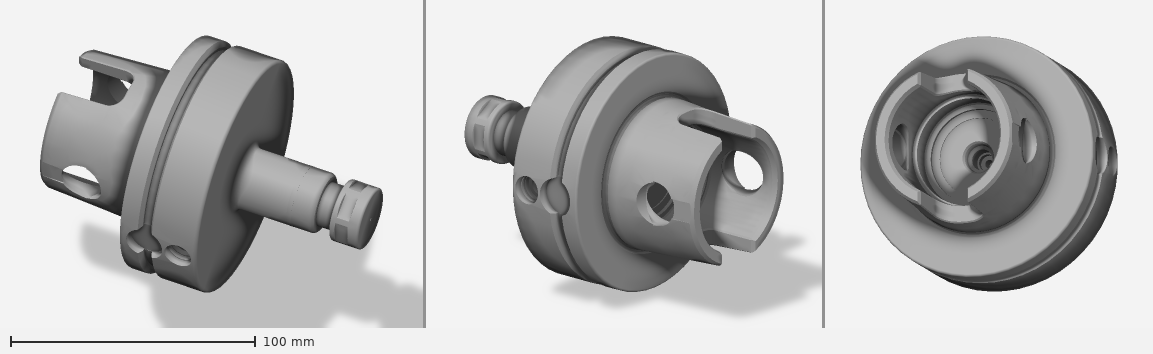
import cadquery as cq
import math


MOUTH_RADIUS = 28.6
TAPER_START_X, TAPER_START_RADIUS = 1.8, 29.7
TAPER_END_X, TAPER_END_RADIUS = 42.9, 32.0
NECK_X, NECK_RADIUS = 43.7, 31.6

FLANGE_START_X, FLANGE_END_X = 44.8, 79.1
FLANGE_RADIUS = 100.0 / 2
FLANGE_START_FILLET, FLANGE_END_FILLET = 1.0, 1.4
RELIEF_RADIUS, RELIEF_FLOOR_OUTER, RELIEF_FLOOR_INNER = 34.0, 33.2, 32.4
RELIEF_DEPTH = 0.5
GROOVE_CENTRE_X = 56.0
GROOVE_MOUTH_WIDTH, GROOVE_FLOOR_WIDTH = 6.3, 3.8
GROOVE_FLOOR_RADIUS, GROOVE_WALL_RADIUS = 46.5, 47.8

SHAFT_RADIUS = 25.9 / 2
SHAFT_ROOT_FILLET = 2.5
BAND_START_X, BAND_END_X = 103.1, 105.2
BAND_RADIUS = 26.0 / 2
SHAFT_ROUND_X, SHAFT_END_X, SHAFT_ROUND_DROP = 112.9, 114.9, 1.1
COLLAR_RADIUS = 19.0 / 2

NUT_START_X, NUT_END_X = 122.0, 135.0
NUT_RADIUS = 13.2
NUT_FILLET = 1.0
NUT_FLAT_COUNT = 6
NUT_FLAT_HALF_WIDTH = 5.5
NUT_FLAT_START_X, NUT_FLAT_END_X = 124.7, 130.0
NUT_FLAT_SIDE_RUN = 0.4

BORE_RADIUS, CLAMP_RADIUS, FLOOR_RADIUS, RECESS_RADIUS = 23.9, 22.3, 19.7, 16.3
STEP_ROOT_RADIUS, CLAMP_END_RADIUS = 23.1, 21.6
CLAMP_START_X, CLAMP_END_X, FLOOR_X, RECESS_X = 34.7, 45.1, 46.7, 47.2
CAVITY_STEPS = [
    (0, 25.0),
    (2.0, BORE_RADIUS),
    (CLAMP_START_X - 0.7, BORE_RADIUS),
    (CLAMP_START_X, STEP_ROOT_RADIUS),
    (CLAMP_START_X, CLAMP_RADIUS),
    (CLAMP_END_X - 0.5, CLAMP_RADIUS),
    (CLAMP_END_X, CLAMP_END_RADIUS),
    (CLAMP_END_X, FLOOR_RADIUS),
    (FLOOR_X, FLOOR_RADIUS),
    (FLOOR_X, RECESS_RADIUS),
    (RECESS_X, RECESS_RADIUS),
]

SEAT_RADIUS, FEED_RADIUS, PASSAGE_RADIUS, OUTLET_RADIUS = 4.3, 3.5, 1.8, 0.88
SEAT_END_X, FEED_END_X, PASSAGE_END_X = 59.4, 62.1, 67.5
CENTRE_BORE_STEPS = [
    (RECESS_X, 6.8),
    (48.3, 6.1),
    (51.3, 5.7),
    (52.6, SEAT_RADIUS),
    (SEAT_END_X, SEAT_RADIUS),
    (SEAT_END_X, FEED_RADIUS),
    (FEED_END_X, FEED_RADIUS),
    (FEED_END_X, PASSAGE_RADIUS),
    (PASSAGE_END_X, PASSAGE_RADIUS),
    (PASSAGE_END_X, OUTLET_RADIUS),
    (NUT_END_X, OUTLET_RADIUS),
]

SLOT_HALF_WIDTH, SLOT_DEPTH, SLOT_CORNER_RADIUS = 10.0, 26.9, 6.0
SLOT_MOUTH_CHAMFER = 0.8
SLOT_EDGE_CHAMFER = 0.5

ACCESS_HOLE_X, ACCESS_HOLE_DIAMETER = 19.2, 18.5
RELIEF_DIAMETER, RELIEF_TILT, RELIEF_LENGTH = 19.0, 30, 16.2
RELIEF_CROSSING_Y, RELIEF_OVERRUN = 26.0, 3.8
SHANK_FLAT_HALF_WIDTH, SHANK_FLAT_Y = 4.3, 29.3
POCKET_DIAMETER, POCKET_FLOOR_Y = 16.0, 45.6
SCREW_HOLE_X = 71.0
SCREW_ENTRY_DIAMETER, SCREW_ENTRY_Y = 12.0, 46.5
SCREW_BORE_DIAMETER, SCREW_FLOOR_Y = 11.2, 41.8
SCREW_PILOT_DIAMETER, SCREW_PILOT_Y = 8.0, 40.5
SCREW_RING_WIDTH = 1.2


def turned(profile):
    """Solid of revolution about X from a closed profile in the XY plane."""
    return profile.close().revolve(360, (0, 0, 0), (1, 0, 0))


def turned_steps(steps):
    """Solid of revolution below a chain of (x, radius) points."""
    outline = [(steps[0][0], 0)] + steps + [(steps[-1][0], 0)]
    return turned(cq.Workplane("XY").polyline(outline))


def round_corner(x, radius, size, x_side, y_side):
    """Middle of a quarter round at the corner (x, radius).

    x_side and y_side give the direction, +1 or -1, from the corner to the centre of the arc.
    """
    bulge = size * (1 - math.sqrt(0.5))
    return (x + x_side * bulge, radius + y_side * bulge)


def shank_and_flange():
    groove_half_mouth = GROOVE_MOUTH_WIDTH / 2
    groove_half_floor = GROOVE_FLOOR_WIDTH / 2
    relief_x = FLANGE_START_X + RELIEF_DEPTH
    profile = (
        cq.Workplane("XY")
        .moveTo(0, 0)
        .lineTo(0, MOUTH_RADIUS)
        .lineTo(TAPER_START_X, TAPER_START_RADIUS)
        .lineTo(TAPER_END_X, TAPER_END_RADIUS)
        .lineTo(NECK_X, NECK_RADIUS)
        .lineTo(FLANGE_START_X, NECK_RADIUS)
        .lineTo(relief_x, RELIEF_FLOOR_INNER)
        .lineTo(relief_x, RELIEF_FLOOR_OUTER)
        .lineTo(FLANGE_START_X, RELIEF_RADIUS)
        .lineTo(FLANGE_START_X, FLANGE_RADIUS - FLANGE_START_FILLET)
        .threePointArc(
            round_corner(FLANGE_START_X, FLANGE_RADIUS, FLANGE_START_FILLET, 1, -1),
            (FLANGE_START_X + FLANGE_START_FILLET, FLANGE_RADIUS),
        )
        .lineTo(GROOVE_CENTRE_X - groove_half_mouth, FLANGE_RADIUS)
        .lineTo(GROOVE_CENTRE_X - groove_half_floor, GROOVE_WALL_RADIUS)
        .lineTo(GROOVE_CENTRE_X - groove_half_floor, GROOVE_FLOOR_RADIUS)
        .lineTo(GROOVE_CENTRE_X + groove_half_floor, GROOVE_FLOOR_RADIUS)
        .lineTo(GROOVE_CENTRE_X + groove_half_floor, GROOVE_WALL_RADIUS)
        .lineTo(GROOVE_CENTRE_X + groove_half_mouth, FLANGE_RADIUS)
        .lineTo(FLANGE_END_X - FLANGE_END_FILLET, FLANGE_RADIUS)
        .threePointArc(
            round_corner(FLANGE_END_X, FLANGE_RADIUS, FLANGE_END_FILLET, -1, -1),
            (FLANGE_END_X, FLANGE_RADIUS - FLANGE_END_FILLET),
        )
        .lineTo(FLANGE_END_X, 0)
    )
    return turned(profile)


def shaft():
    root_radius = SHAFT_RADIUS + SHAFT_ROOT_FILLET
    root_end_x = FLANGE_END_X + SHAFT_ROOT_FILLET
    profile = (
        cq.Workplane("XY")
        .moveTo(FLANGE_END_X, 0)
        .lineTo(FLANGE_END_X, root_radius)
        .threePointArc(
            round_corner(FLANGE_END_X, SHAFT_RADIUS, SHAFT_ROOT_FILLET, 1, 1),
            (root_end_x, SHAFT_RADIUS),
        )
        .lineTo(BAND_START_X, SHAFT_RADIUS)
        .lineTo(BAND_START_X, BAND_RADIUS)
        .lineTo(BAND_END_X, BAND_RADIUS)
        .lineTo(BAND_END_X, SHAFT_RADIUS)
        .lineTo(SHAFT_ROUND_X, SHAFT_RADIUS)
        .tangentArcPoint((SHAFT_END_X, SHAFT_RADIUS - SHAFT_ROUND_DROP), relative=False)
        .lineTo(SHAFT_END_X, COLLAR_RADIUS)
        .lineTo(NUT_START_X, COLLAR_RADIUS)
        .lineTo(NUT_START_X, 0)
    )
    return turned(profile)


def nut_flat_cutter():
    """Wedge-sided bar that mills one flat, facing -Y."""
    flat_y = -math.sqrt(NUT_RADIUS**2 - NUT_FLAT_HALF_WIDTH**2)
    outer_y = -NUT_RADIUS
    return (
        cq.Workplane("XY")
        .polyline([
            (NUT_FLAT_START_X, flat_y),
            (NUT_FLAT_END_X, flat_y),
            (NUT_FLAT_END_X + NUT_FLAT_SIDE_RUN, outer_y),
            (NUT_FLAT_START_X - NUT_FLAT_SIDE_RUN, outer_y),
        ])
        .close()
        .extrude(NUT_RADIUS / 2, both=True)
    )


def nut():
    body = (
        cq.Workplane("YZ", origin=(NUT_START_X, 0, 0))
        .circle(NUT_RADIUS)
        .extrude(NUT_END_X - NUT_START_X)
        .edges()
        .fillet(NUT_FILLET)
    )
    for index in range(NUT_FLAT_COUNT):
        angle = index * 360 / NUT_FLAT_COUNT
        body = body.cut(nut_flat_cutter().rotate((0, 0, 0), (1, 0, 0), angle))
    return body


def cut_drive_slots(body):
    """Cut the rounded slot through both walls along Z, break its edges and flare its mouth."""
    flared_half_width = SLOT_HALF_WIDTH + SLOT_MOUTH_CHAMFER
    slot = (
        cq.Workplane("XY")
        .rect(2 * SLOT_DEPTH, 2 * SLOT_HALF_WIDTH)
        .extrude(FLANGE_RADIUS, both=True)
        .edges("|Z")
        .fillet(SLOT_CORNER_RADIUS)
    )
    mouth = (
        cq.Workplane("XY")
        .polyline([
            (0, -flared_half_width),
            (TAPER_START_X, -SLOT_HALF_WIDTH),
            (TAPER_START_X, SLOT_HALF_WIDTH),
            (0, flared_half_width),
        ])
        .close()
        .extrude(FLANGE_RADIUS, both=True)
    )
    slotted = body.cut(slot)
    margin = 0.1
    slot_edges = cq.selectors.BoxSelector(
        (TAPER_START_X, -SLOT_HALF_WIDTH - margin, -FLANGE_RADIUS),
        (SLOT_DEPTH + margin, SLOT_HALF_WIDTH + margin, FLANGE_RADIUS),
        boundingbox=False,
    )
    rims = slotted.edges(slot_edges).edges("not |Z")
    return rims.chamfer(SLOT_EDGE_CHAMFER).cut(mouth)


def cross_cylinder(x, diameter, near_y, far_y):
    """Cylinder along Y between two Y positions."""
    return (
        cq.Workplane("XZ", origin=(x, near_y, 0))
        .circle(diameter / 2)
        .extrude(near_y - far_y)
    )


def access_relief():
    """Leaning bore that opens the access hole towards the mouth on the inside of the shank wall."""
    crossing = (ACCESS_HOLE_X, -RELIEF_CROSSING_Y)
    return (
        cq.Workplane("XZ", origin=(ACCESS_HOLE_X, -RELIEF_CROSSING_Y - RELIEF_OVERRUN, 0))
        .circle(RELIEF_DIAMETER / 2)
        .extrude(-RELIEF_LENGTH)
        .rotate((*crossing, 0), (*crossing, 1), RELIEF_TILT)
    )


def shank_flat():
    height = FLANGE_RADIUS - SHANK_FLAT_Y
    return (
        cq.Workplane("XY")
        .box(ACCESS_HOLE_X, height, 2 * SHANK_FLAT_HALF_WIDTH, centered=(False, False, True))
        .translate((0, -FLANGE_RADIUS, 0))
    )


def screw_hole():
    """Stepped hole with a ring groove, as wide as its entry, in the wall of its bore."""
    hole = cross_cylinder(SCREW_HOLE_X, SCREW_ENTRY_DIAMETER, -SCREW_ENTRY_Y, -FLANGE_RADIUS)
    hole = hole.union(cross_cylinder(SCREW_HOLE_X, SCREW_BORE_DIAMETER, -SCREW_FLOOR_Y, -FLANGE_RADIUS))
    hole = hole.union(cross_cylinder(SCREW_HOLE_X, SCREW_PILOT_DIAMETER, -SCREW_PILOT_Y, -FLANGE_RADIUS))
    ring_top_y = SCREW_ENTRY_Y - SCREW_RING_WIDTH
    ring_floor_y = ring_top_y - SCREW_RING_WIDTH
    ring = cross_cylinder(SCREW_HOLE_X, SCREW_ENTRY_DIAMETER, -ring_floor_y, -ring_top_y)
    return hole.union(ring)


def side_cutters():
    """Everything cut in from the -Y side."""
    pocket = cross_cylinder(GROOVE_CENTRE_X, POCKET_DIAMETER, -POCKET_FLOOR_Y, -FLANGE_RADIUS)
    return shank_flat().union(access_relief()).union(pocket).union(screw_hole())


body = shank_and_flange().union(shaft()).union(nut())
body = body.cut(turned_steps(CAVITY_STEPS)).cut(turned_steps(CENTRE_BORE_STEPS))
body = cut_drive_slots(body)
body = body.cut(cross_cylinder(ACCESS_HOLE_X, ACCESS_HOLE_DIAMETER, FLANGE_RADIUS, -FLANGE_RADIUS))

for half_turn in (0, 180):
    body = body.cut(side_cutters().rotate((0, 0, 0), (1, 0, 0), half_turn))

result = body